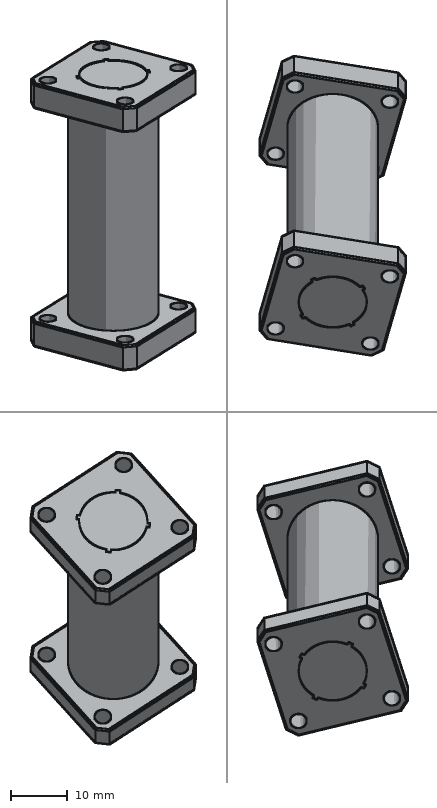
import cadquery as cq

length = 50.8
flange_width = 22.3
flange_thickness = 4.9
tube_diameter = 15.95

corner_chamfer = 1.8
edge_chamfer = 0.3

hole_diameter = 2.9
hole_spacing_x = 16.25
hole_spacing_y = 17.05

recess_diameter = 12.0
recess_depth = 0.15
notch_width = 0.8
notch_tip_diameter = 12.95


def make_flange():
    """Square flange resting on Z = 0, with bevelled corners, edges and bolt holes."""
    plate = cq.Workplane("XY").box(
        flange_width, flange_width, flange_thickness, centered=(True, True, False)
    )
    plate = plate.edges("|Z").chamfer(corner_chamfer)
    plate = plate.faces("<Z or >Z").edges().chamfer(edge_chamfer)
    bolt_holes = (
        cq.Workplane("XY")
        .rarray(hole_spacing_x, hole_spacing_y, 2, 2)
        .circle(hole_diameter / 2)
        .extrude(flange_thickness)
    )
    return plate.cut(bolt_holes)


def make_recess():
    """Disc with two crossed diagonal bars whose ends form the four notches."""
    recess = cq.Workplane("XY").circle(recess_diameter / 2).extrude(recess_depth)
    for angle in (45, -45):
        bar = cq.Workplane("XY").box(
            notch_tip_diameter, notch_width, recess_depth, centered=(True, True, False)
        )
        recess = recess.union(bar.rotate((0, 0, 0), (0, 0, 1), angle))
    return recess


result = cq.Workplane("XY").circle(tube_diameter / 2).extrude(length)

for base_height in (0, length - flange_thickness):
    result = result.union(make_flange().translate((0, 0, base_height)))

for floor_height in (0, length - recess_depth):
    result = result.cut(make_recess().translate((0, 0, floor_height)))